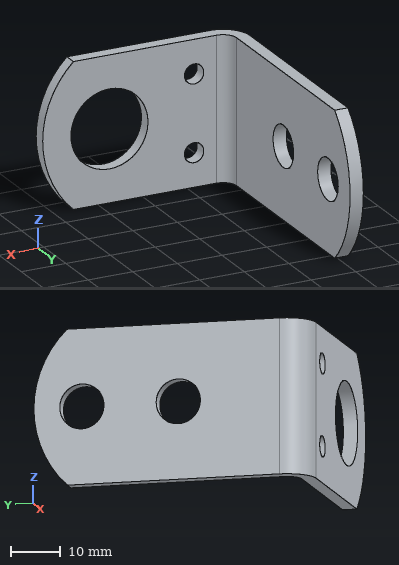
import cadquery as cq
import math

length_x = 45.0
length_y = 57.0
width = 32.0
thickness = 3.0
inner_bend_radius = 3.0
outer_bend_radius = inner_bend_radius + thickness

end_radius = 22.0

large_hole_diameter = 17.2
large_hole_x = 30.0
small_hole_diameter = 4.3
small_hole_x = 11.0
small_hole_spacing = 17.0

mount_hole_diameter = 9.1
mount_hole_positions_y = (27.0, 47.0)

half_width = width / 2
end_rise = end_radius - math.sqrt(end_radius**2 - half_width**2)


def leg_outline(plane, length):
    """Flat leg with an arched free end, starting where the bend ends."""
    shoulder = length - end_rise
    return (
        cq.Workplane(plane)
        .moveTo(outer_bend_radius, -half_width)
        .lineTo(shoulder, -half_width)
        .threePointArc((length, 0), (shoulder, half_width))
        .lineTo(outer_bend_radius, half_width)
        .close()
        .extrude(thickness)
    )


def hole_cutter(plane, points, diameter):
    """Cylinders that pass through one leg."""
    return cq.Workplane(plane).pushPoints(points).circle(diameter / 2).extrude(thickness)


x_leg_plane = cq.Plane(origin=(0, 0, 0), xDir=(1, 0, 0), normal=(0, 1, 0))
y_leg_plane = cq.Plane(origin=(0, 0, 0), xDir=(0, 1, 0), normal=(1, 0, 0))

diagonal = math.sqrt(0.5)
outer_mid = outer_bend_radius * (1 - diagonal)
inner_mid = outer_bend_radius - inner_bend_radius * diagonal
bend = (
    cq.Workplane("XY")
    .workplane(offset=-half_width)
    .moveTo(outer_bend_radius, 0)
    .threePointArc((outer_mid, outer_mid), (0, outer_bend_radius))
    .lineTo(thickness, outer_bend_radius)
    .threePointArc((inner_mid, inner_mid), (outer_bend_radius, thickness))
    .close()
    .extrude(width)
)

bracket = bend.union(leg_outline(x_leg_plane, length_x)).union(leg_outline(y_leg_plane, length_y))

small_hole_points = [(small_hole_x, side * small_hole_spacing / 2) for side in (-1, 1)]
mount_hole_points = [(y, 0) for y in mount_hole_positions_y]

result = (
    bracket
    .cut(hole_cutter(x_leg_plane, [(large_hole_x, 0)], large_hole_diameter))
    .cut(hole_cutter(x_leg_plane, small_hole_points, small_hole_diameter))
    .cut(hole_cutter(y_leg_plane, mount_hole_points, mount_hole_diameter))
)